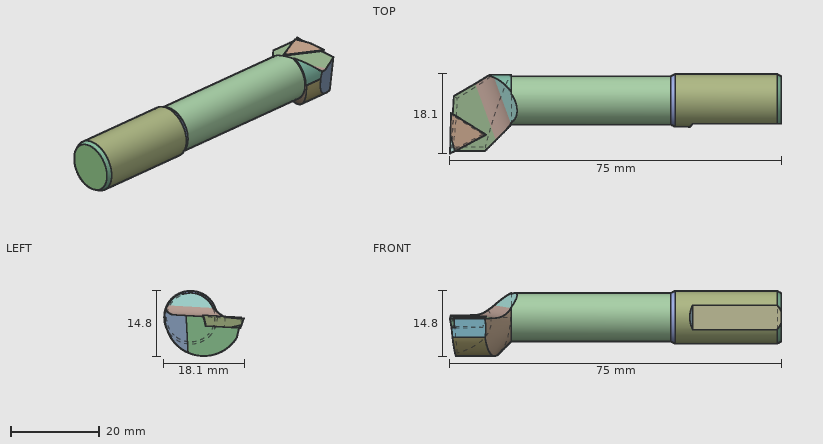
import cadquery as cq
import math

length = 75.0

shank_radius = 6.0
shank_start = 50.0
shoulder_length = 1.0
end_chamfer_length = 1.0
end_chamfer_depth = 0.5

flat_half_width = 2.8
flat_distance = math.sqrt(shank_radius**2 - flat_half_width**2)
flat_start = 54.95
flat_depth = shank_radius - flat_distance

neck_diameter = 11.0
neck_radius = neck_diameter / 2
neck_start = 13.95

head_radius = 8.8
head_offset = -3.0

back_radius = 5.85

relief_faces = [
    ((1.0, 1.0), 176.3, 5.0),
    ((1.0, 1.0), 120.0, 5.0),
    ((1.0, -11.55), 270.0, 13.0),
]

seat_height = 0.34
seat_tilt = 3.3
gullet_turn = 20.0
gullet_start = 6.75
gullet_radius = 6.0
ramp_angle = 49.0

tip_y = -12.15
insert_side = 9.4
insert_thickness = 2.4
insert_corner_angle = 60.0
insert_turn = 2.0
insert_relief = 10.0
insert_rise = 0.3

groove_radius = 1.1
groove_depth = 0.3
groove_turn = 16.0
groove_center = (0.1, -10.2)

clearance = 30.0


def tilt_to_seat(body):
    """Tilt a body built on Z = 0 about the X axis and lift it to the seat."""
    return body.rotate((0, 0, 0), (1, 0, 0), seat_tilt).translate((0, 0, seat_height))


def make_bar():
    """Neck and shank, turned about X."""
    shoulder_end = shank_start + shoulder_length
    return (
        cq.Workplane("XY")
        .moveTo(neck_start, 0)
        .lineTo(neck_start, neck_radius)
        .lineTo(shank_start, neck_radius)
        .lineTo(shoulder_end, shank_radius)
        .lineTo(length - end_chamfer_length, shank_radius)
        .lineTo(length, shank_radius - end_chamfer_depth)
        .lineTo(length, 0)
        .close()
        .revolve(360, (0, 0, 0), (1, 0, 0))
    )


def make_flat_cutter():
    """Clamping flat with a 45 degree run-out, open at the shank end."""
    return (
        cq.Workplane("XY")
        .moveTo(flat_start, -flat_distance)
        .lineTo(length, -flat_distance)
        .lineTo(length, -shank_radius)
        .lineTo(flat_start - flat_depth, -shank_radius)
        .close()
        .extrude(shank_radius, both=True)
    )


def make_head_blank():
    """Offset head cylinder, limited by the cone that widens from the neck."""
    head = cq.Workplane("YZ").center(head_offset, 0).circle(head_radius).extrude(neck_start)
    cone = (
        cq.Workplane("XY")
        .lineTo(0, neck_radius + neck_start)
        .lineTo(neck_start, neck_radius)
        .lineTo(neck_start, 0)
        .close()
        .revolve(360, (0, 0, 0), (1, 0, 0))
    )
    return head.intersect(cone)


def make_back_quarter(radius):
    """Quarter cylinder about X on the +Y, +Z side, as long as the head."""
    quarter = cq.Workplane("XY").rect(neck_start, radius, centered=False)
    return quarter.revolve(90, (0, 0, 0), (1, 0, 0))


def make_head():
    """Head blank with its rounded back and its relief faces."""
    head = make_head_blank().cut(make_back_quarter(clearance)).union(make_back_quarter(back_radius))
    for point, azimuth, relief in relief_faces:
        head = head.cut(make_relief_cutter(point, azimuth, relief))
    return head


def make_relief_cutter(point, azimuth, relief):
    """Block outside a relief face that leans inward toward the bottom."""
    block = cq.Workplane("XY").box(clearance, 2 * clearance, 2 * clearance, centered=(False, True, True))
    leaning = block.rotate((0, 0, 0), (0, 1, 0), relief)
    return leaning.rotate((0, 0, 0), (0, 0, 1), azimuth).translate((*point, 0))


def make_gullet_cutter():
    """Chip space: seat, round and ramp, swept straight across the head."""
    angle = math.radians(ramp_angle)
    half_angle = angle / 2
    round_middle = (
        gullet_start + gullet_radius * math.sin(half_angle),
        gullet_radius * (1 - math.cos(half_angle)),
    )
    round_end = (
        gullet_start + gullet_radius * math.sin(angle),
        gullet_radius * (1 - math.cos(angle)),
    )
    ramp_top = 2 * shank_radius
    ramp_end_x = round_end[0] + (ramp_top - round_end[1]) / math.tan(angle)
    cutter = (
        cq.Workplane("XZ")
        .moveTo(-clearance, 0)
        .lineTo(gullet_start, 0)
        .threePointArc(round_middle, round_end)
        .lineTo(ramp_end_x, ramp_top)
        .lineTo(-clearance, ramp_top)
        .close()
        .extrude(clearance, both=True)
    )
    return tilt_to_seat(cutter.rotate((0, 0, 0), (0, 0, 1), gullet_turn))


def make_insert_blank():
    """Triangular insert with tapering sides, its uncut tip at X = 0."""
    back_angle = math.radians(90 - insert_turn)
    inner_angle = back_angle - math.radians(insert_corner_angle)
    corners = [
        (0, tip_y),
        (insert_side * math.cos(inner_angle), tip_y + insert_side * math.sin(inner_angle)),
        (insert_side * math.cos(back_angle), tip_y + insert_side * math.sin(back_angle)),
    ]
    blank = (
        cq.Workplane("XY", origin=(0, 0, insert_rise))
        .polyline(corners)
        .close()
        .extrude(-insert_thickness, taper=insert_relief)
    )
    return tilt_to_seat(blank)


def make_groove_cutter():
    """Round groove running obliquely past the cutting tip."""
    center_z = insert_rise + groove_radius - groove_depth
    cutter = (
        cq.Workplane("XZ")
        .circle(groove_radius)
        .extrude(insert_side, both=True)
        .rotate((0, 0, 0), (0, 0, 1), groove_turn)
        .translate((*groove_center, center_z))
    )
    return tilt_to_seat(cutter)


def make_holder(insert_blank):
    """Boring bar in one piece, with a pocket that fits the insert."""
    bar = make_bar().cut(make_flat_cutter())
    return bar.union(make_head()).cut(make_gullet_cutter()).cut(insert_blank)


insert_blank = make_insert_blank()
holder = make_holder(insert_blank)
insert = insert_blank.cut(make_groove_cutter())

result = cq.Compound.makeCompound([holder.val(), insert.val()])